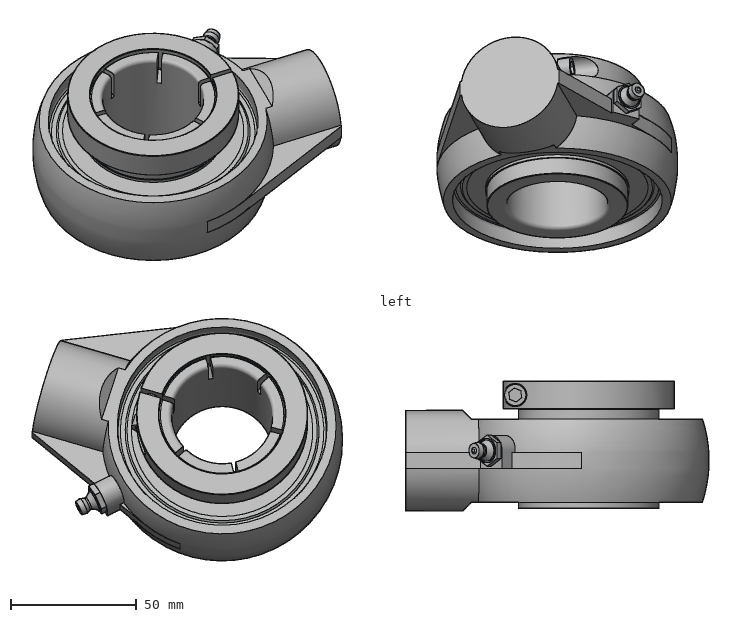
import cadquery as cq
import math


housing_max_dia = 95.8
housing_half_width = 16.5
housing_face_dia = 90.5
seat_dia = 85.2
seat_opening_dia = 83.2
seat_lip_dia = 80.8
stem_dia = 40.0
stem_end_y = 72.7
stem_root_y = 43.4
stem_flat_y = 46.5
web_thickness = 6.3
web_end_half_width = 20.3
web_wrap_end_y = 2.9

grease_angle = 135.0
grease_z = 4.0
boss_width = 12.1
boss_reach = 54.8
hex_across_flats = 10.9
hex_height = 2.3
washer_dia = 9.6
washer_height = 0.5
cone_base_dia = 8.5
cone_top_dia = 6.0
cone_height = 1.7
neck_dia = 5.3
neck_height = 1.5
rib_dia = 6.6
rib_height = 1.6
tip_dia = 5.8
tip_height = 2.2
valve_base_dia = 2.7
valve_top_dia = 1.5
valve_height = 0.4

outer_ring_bore_dia = 72.0
outer_ring_half_width = 10.1
outer_lip_height = 0.7
outer_lip_base_dia = 77.0
outer_lip_top_dia = 75.5
inner_land_dia = 57.0
seal_thickness = 1.8
shaft_dia = 40.0
inner_ring_dia = 56.0
inner_ring_bottom_z = -19.0
inner_ring_top_z = 30.2
land_half_width = 12.1
finger_dia = 50.2
finger_chamfer = 0.6
bore_round = 1.6
edge_chamfer = 0.2
slit_width = 1.8
slit_count = 6
slit_bore_z = 17.5
slit_floor_end_radius = 24.5

collar_dia = 68.0
collar_bottom_z = 20.5
collar_top_z = 31.6
screw_y = 29.2
screw_z = (collar_bottom_z + collar_top_z) / 2
head_dia = 8.5
head_recess_dia = 9.2
head_end_x = -14.0
head_seat_x = -8.9
shank_dia = 4.1
shank_end_x = 8.9
socket_across_flats = 4.8
socket_depth = 2.5
socket_turn = -8.0

hex_corner_ratio = 2 / math.sqrt(3)
seal_face_z = outer_ring_half_width + outer_lip_height
over = 1.2


def turned(points):
    """Revolve an outline of (radius, z) points around the Z axis."""
    return cq.Workplane("XZ").polyline(points).close().revolve(360, (0, 0, 0), (0, 1, 0))


def cylinder(diameter, bottom_z, top_z):
    return cq.Workplane("XY").workplane(offset=bottom_z).circle(diameter / 2).extrude(top_z - bottom_z)


def x_cylinder(diameter, start_x, end_x):
    """Cylinder on the clamp screw axis."""
    plane = cq.Plane(origin=(start_x, screw_y, screw_z), xDir=(0, 1, 0), normal=(1, 0, 0))
    return cq.Workplane(plane).circle(diameter / 2).extrude(end_x - start_x)


def along_grease_axis(body):
    """Move a body built along +Z so that its Z axis becomes the grease fitting axis."""
    return (
        body.rotate((0, 0, 0), (0, 0, 1), 90)
        .rotate((0, 0, 0), (0, 1, 0), 90)
        .rotate((0, 0, 0), (0, 0, 1), grease_angle)
        .translate((0, 0, grease_z))
    )


def make_barrel():
    """Ring body with a crowned outer face."""
    face_radius = housing_face_dia / 2
    return (
        cq.Workplane("XZ")
        .moveTo(0, -housing_half_width)
        .lineTo(face_radius, -housing_half_width)
        .threePointArc((housing_max_dia / 2, 0), (face_radius, housing_half_width))
        .lineTo(0, housing_half_width)
        .close()
        .revolve(360, (0, 0, 0), (0, 1, 0))
    )


def make_stem():
    """Round stem with two flats near the ring, each reached by a 45 degree slope."""
    stem = (
        cq.Workplane("XZ")
        .workplane(offset=-stem_end_y)
        .circle(stem_dia / 2)
        .extrude(stem_end_y - stem_root_y)
    )
    slope = stem_dia / 2 - housing_half_width
    side = (
        cq.Workplane("YZ")
        .moveTo(stem_root_y, -housing_half_width)
        .lineTo(stem_flat_y, -housing_half_width)
        .lineTo(stem_flat_y + slope, -stem_dia / 2)
        .lineTo(stem_end_y, -stem_dia / 2)
        .lineTo(stem_end_y, stem_dia / 2)
        .lineTo(stem_flat_y + slope, stem_dia / 2)
        .lineTo(stem_flat_y, housing_half_width)
        .lineTo(stem_root_y, housing_half_width)
        .close()
        .extrude(stem_dia / 2, both=True)
    )
    return stem.intersect(side)


def make_web():
    """Flat plate whose edges run from the stem end tangent to the ring."""
    radius = housing_max_dia / 2
    end_distance = math.hypot(web_end_half_width, stem_end_y)
    tangent_angle = math.atan2(stem_end_y, web_end_half_width) - math.acos(radius / end_distance)
    tangent_x = radius * math.cos(tangent_angle)
    tangent_y = radius * math.sin(tangent_angle)
    wrap_x = math.sqrt(radius**2 - web_wrap_end_y**2)
    wrap_angle = math.asin(web_wrap_end_y / radius)
    middle_angle = (tangent_angle + wrap_angle) / 2
    middle_x = radius * math.cos(middle_angle)
    middle_y = radius * math.sin(middle_angle)
    return (
        cq.Workplane("XY")
        .moveTo(-web_end_half_width, stem_end_y)
        .lineTo(web_end_half_width, stem_end_y)
        .lineTo(tangent_x, tangent_y)
        .threePointArc((middle_x, middle_y), (wrap_x, web_wrap_end_y))
        .lineTo(-wrap_x, web_wrap_end_y)
        .threePointArc((-middle_x, middle_y), (-tangent_x, tangent_y))
        .close()
        .extrude(web_thickness / 2, both=True)
    )


def make_grease_boss():
    """Round-topped boss that stands on the underside level of the web."""
    foot = grease_z + web_thickness / 2
    barrel = cylinder(boss_width, 0, boss_reach)
    base = cq.Workplane("XY").center(0, -foot / 2).rect(boss_width, foot).extrude(boss_reach)
    return along_grease_axis(barrel.union(base))


def make_spherical_disc():
    """Middle slice of a ball, as wide as the outer ring."""
    ball = cq.Workplane("XY").sphere(seat_dia / 2)
    return ball.intersect(cylinder(seat_dia, -outer_ring_half_width, outer_ring_half_width))


def make_seat():
    """Spherical seat, with a rounded recess that opens it to each face."""
    lip_radius = seat_lip_dia / 2
    lip_z = outer_ring_half_width
    opening_radius = seat_opening_dia / 2
    corner = opening_radius - lip_radius
    bend = corner * math.sqrt(0.5)
    recess = (
        cq.Workplane("XZ")
        .moveTo(0, lip_z)
        .lineTo(lip_radius, lip_z)
        .threePointArc((lip_radius + bend, lip_z + corner - bend), (opening_radius, lip_z + corner))
        .lineTo(opening_radius, housing_half_width + over)
        .lineTo(0, housing_half_width + over)
        .close()
        .revolve(360, (0, 0, 0), (0, 1, 0))
    )
    return make_spherical_disc().union(recess).union(recess.mirror("XY"))


def make_housing():
    solid = make_barrel().union(make_stem()).union(make_web()).union(make_grease_boss())
    return solid.cut(make_seat())


def make_outer_ring():
    """Spherical outer ring with a raised lip around the seal on each side."""
    lip = turned([
        (0, 0),
        (outer_lip_base_dia / 2, 0),
        (outer_lip_base_dia / 2, outer_ring_half_width),
        (outer_lip_top_dia / 2, seal_face_z),
        (0, seal_face_z),
    ])
    bore = cylinder(outer_ring_bore_dia, -seal_face_z, seal_face_z)
    return make_spherical_disc().union(lip).union(lip.mirror("XY")).cut(bore)


def make_seal(bottom_z):
    return (
        cq.Workplane("XY")
        .workplane(offset=bottom_z)
        .circle(outer_ring_bore_dia / 2)
        .circle(inner_land_dia / 2)
        .extrude(seal_thickness)
    )


def make_inner_ring():
    """Inner ring with a raised raceway land and a narrowed top, slit into fingers."""
    body = cylinder(inner_ring_dia, inner_ring_bottom_z, collar_bottom_z)
    body = body.faces("<Z or >Z").edges().chamfer(edge_chamfer)
    land = cylinder(inner_land_dia, -land_half_width, land_half_width)
    fingers = cylinder(finger_dia, 0, inner_ring_top_z).faces(">Z").edges().chamfer(finger_chamfer)
    bore = cylinder(shaft_dia, inner_ring_bottom_z, inner_ring_top_z)
    ring = body.union(land).union(fingers).cut(bore)
    ring = ring.faces("<Z or >Z").edges(cq.selectors.RadiusNthSelector(0)).fillet(bore_round)
    slit = make_slit()
    for i in range(slit_count):
        ring = ring.cut(slit.rotate((0, 0, 0), (0, 0, 1), 90 + 360 * i / slit_count))
    return ring


def make_slit():
    """Cutting shape for the slit on the +X side; its floor slopes up to the shoulder."""
    slope = (collar_bottom_z - slit_bore_z) / (slit_floor_end_radius - shaft_dia / 2)
    start_radius = shaft_dia / 2 - over
    return (
        cq.Workplane("XZ")
        .moveTo(start_radius, slit_bore_z - slope * over)
        .lineTo(slit_floor_end_radius, collar_bottom_z)
        .lineTo(finger_dia / 2 + over, collar_bottom_z)
        .lineTo(finger_dia / 2 + over, inner_ring_top_z + over)
        .lineTo(start_radius, inner_ring_top_z + over)
        .close()
        .extrude(slit_width / 2, both=True)
    )


def make_collar():
    """Split clamp collar with a recess for the screw head."""
    collar = cylinder(collar_dia, collar_bottom_z, collar_top_z)
    collar = collar.cut(cylinder(finger_dia, collar_bottom_z, collar_top_z))
    collar = collar.faces("<Z or >Z").edges().chamfer(edge_chamfer)
    split = cq.Workplane("XY").box(slit_width, collar_dia, 2 * collar_top_z, centered=(True, False, True))
    head_recess = x_cylinder(head_recess_dia, -collar_dia / 2, head_seat_x)
    shank_hole = x_cylinder(shank_dia, head_seat_x, shank_end_x)
    return collar.cut(split).cut(head_recess).cut(shank_hole)


def make_clamp_screw():
    head = x_cylinder(head_dia, head_end_x, head_seat_x)
    socket_plane = cq.Plane(origin=(head_end_x, screw_y, screw_z), xDir=(0, 0, 1), normal=(1, 0, 0))
    socket = (
        cq.Workplane(socket_plane)
        .polygon(6, socket_across_flats * hex_corner_ratio)
        .extrude(socket_depth)
        .rotate((0, screw_y, screw_z), (1, screw_y, screw_z), socket_turn)
    )
    return head.cut(socket).union(x_cylinder(shank_dia, head_seat_x, shank_end_x))


def make_grease_fitting():
    washer_z = boss_reach + hex_height
    cone_z = washer_z + washer_height
    neck_z = cone_z + cone_height
    rib_z = neck_z + neck_height
    rib_peak_z = rib_z + rib_height
    tip_z = rib_peak_z + tip_height
    hexagon = (
        cq.Workplane("XY")
        .workplane(offset=boss_reach)
        .polygon(6, hex_across_flats * hex_corner_ratio)
        .extrude(hex_height)
        .rotate((0, 0, 0), (0, 0, 1), 90)
    )
    nozzle = turned([
        (0, washer_z),
        (washer_dia / 2, washer_z),
        (washer_dia / 2, cone_z),
        (cone_base_dia / 2, cone_z),
        (cone_top_dia / 2, neck_z),
        (neck_dia / 2, neck_z + neck_height / 2),
        (neck_dia / 2, rib_z),
        (rib_dia / 2, rib_peak_z),
        (tip_dia / 2, tip_z),
        (valve_base_dia / 2, tip_z),
        (valve_top_dia / 2, tip_z + valve_height),
        (0, tip_z + valve_height),
    ])
    return along_grease_axis(hexagon.union(nozzle))


housing = make_housing()
outer_ring = make_outer_ring()
inner_ring = make_inner_ring()
seals = [make_seal(bottom_z) for bottom_z in (-seal_face_z, seal_face_z - seal_thickness)]
collar = make_collar()
clamp_screw = make_clamp_screw()
grease_fitting = make_grease_fitting()

result = cq.Compound.makeCompound([
    housing.val(),
    outer_ring.val(),
    inner_ring.val(),
    *[seal.val() for seal in seals],
    collar.val(),
    clamp_screw.val(),
    grease_fitting.val(),
])